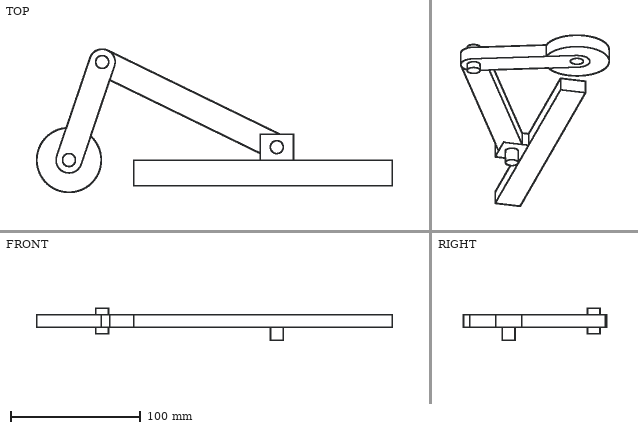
import cadquery as cq
import math


overall_length = 275.0
disc_diameter = 50.0
crank_length = 80.0
crank_angle = 71.3
rod_length = 150.2
slider_length = 25.8

thickness = disc_diameter / 5
link_width = 2 * thickness
pin_diameter = thickness
crank_pin_overhang = thickness / 2
slider_pin_drop = thickness
rail_width = link_width
rail_start = disc_diameter
rail_end = overall_length - disc_diameter / 2

disc_joint = (0.0, 0.0)
crank_joint = (
    crank_length * math.cos(math.radians(crank_angle)),
    crank_length * math.sin(math.radians(crank_angle)),
)
slider_y = link_width / 2
rod_drop = crank_joint[1] - slider_y
slider_joint = (crank_joint[0] + math.sqrt(rod_length**2 - rod_drop**2), slider_y)


def make_link(start, end):
    """Flat bar with round ends centred on two joints."""
    run = end[0] - start[0]
    rise = end[1] - start[1]
    return (
        cq.Workplane("XY")
        .center((start[0] + end[0]) / 2, (start[1] + end[1]) / 2)
        .slot2D(math.hypot(run, rise) + link_width, link_width, math.degrees(math.atan2(rise, run)))
        .extrude(thickness)
    )


def make_plate(x_start, x_end, y_start, y_end):
    """Rectangular plate between the given limits."""
    return (
        cq.Workplane("XY")
        .box(x_end - x_start, y_end - y_start, thickness, centered=False)
        .translate((x_start, y_start, 0))
    )


def make_pin(joint, bottom, top):
    """Vertical round pin at a joint."""
    return (
        cq.Workplane("XY", origin=(joint[0], joint[1], bottom))
        .circle(pin_diameter / 2)
        .extrude(top - bottom)
    )


pin_spans = [
    (disc_joint, 0.0, thickness),
    (crank_joint, -crank_pin_overhang, thickness + crank_pin_overhang),
    (slider_joint, -slider_pin_drop, thickness),
]
pins = [make_pin(joint, bottom, top) for joint, bottom, top in pin_spans]
disc_pin, crank_pin, slider_pin = pins

crank_blank = make_link(disc_joint, crank_joint)
crank = crank_blank.cut(disc_pin).cut(crank_pin)

disc = cq.Workplane("XY").circle(disc_diameter / 2).extrude(thickness).cut(crank_blank)

slider_blank = make_plate(
    slider_joint[0] - slider_length / 2,
    slider_joint[0] + slider_length / 2,
    0.0,
    link_width,
)
slider = slider_blank.cut(slider_pin)

rod = make_link(crank_joint, slider_joint).cut(crank_blank).cut(slider_blank)

rail = make_plate(rail_start, rail_end, -rail_width, 0.0)

bodies = [disc, crank, rod, slider, rail, *pins]
result = cq.Compound.makeCompound([body.solids().val() for body in bodies])